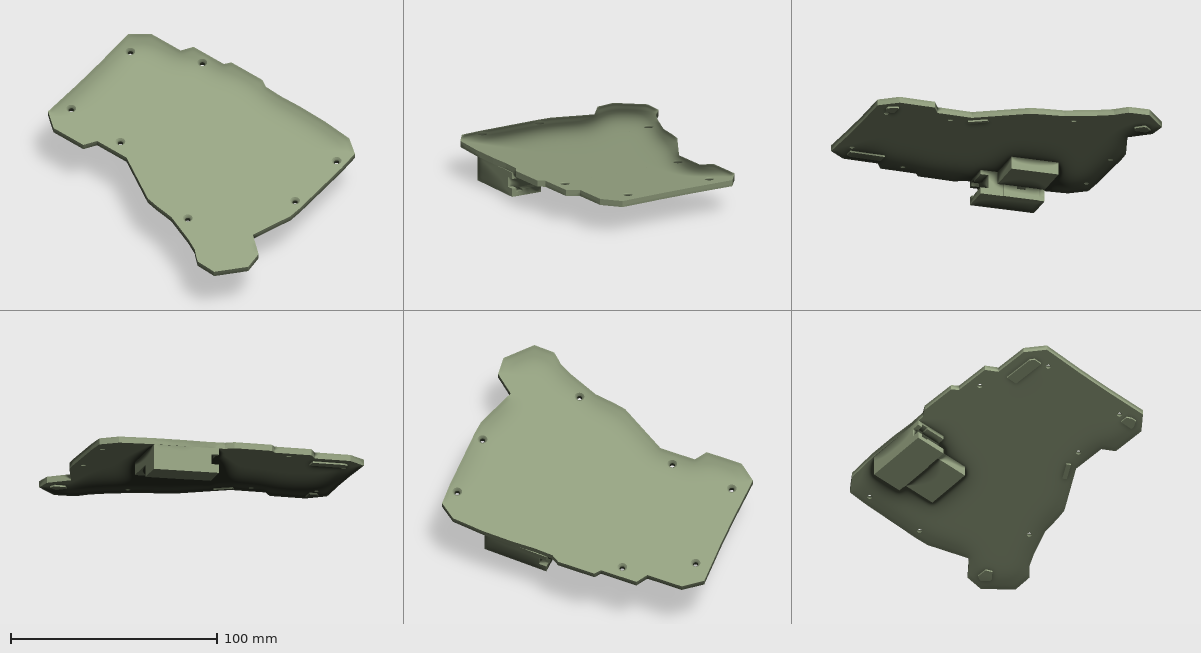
import cadquery as cq

plate_thickness = 3.0
box_bottom = 9.3
total_height = 15.3
pad_height = 0.8

plate_outline = [
    (127.8, 0.0), (138.9, 12.6), (137.8, 22.4), (127.9, 30.7), (135.0, 51.5), (135.4, 58.3), (135.4, 91.7),
    (134.9, 102.9), (126.7, 109.2), (110.4, 110.8), (94.5, 111.2), (83.3, 111.0), (73.9, 111.5), (69.9, 114.0),
    (51.0, 114.0), (48.7, 111.0), (30.3, 111.0), (26.8, 105.3), (8.9, 105.3), (0.0, 98.2), (0.4, 80.4),
    (0.5, 76.0), (0.5, 56.8), (0.4, 52.5), (0.0, 34.6), (8.7, 27.5), (27.0, 27.5), (30.7, 33.6),
    (48.6, 33.6), (72.6, 18.9), (73.2, 18.6), (79.3, 17.4), (89.7, 15.8), (90.3, 15.5),
    (104.7, 9.5), (111.5, 5.8), (113.3, 4.0), (117.2, 0.5), (119.0, 0.4), (125.8, 0.1),
]

hole_diameter = 2.5
countersink_diameter = 4.7
countersink_angle = 90.0
hole_centers = [
    (7.8, 90.0), (7.8, 42.9), (39.9, 105.4), (39.9, 40.1), (130.5, 93.9), (130.5, 60.8), (96.2, 20.1),
]

module_corner = (76.4, 95.4)
module_turn = -2.0
module_length = 32.6
housing_width = 16.2
box_start = 8.6
box_length = module_length - box_start
box_depth = 21.1
box_middle = box_start + box_length / 2

panel_length = 18.3
panel_raise = 0.3
notch_length = 4.3
notch_height = 1.4
notch_depth = 1.7

socket_depth = 3.9
socket_wide_start = 10.4
socket_wide_end = 13.9
socket_steps = [
    (0.0, socket_wide_start, 5.3, 12.1),
    (socket_wide_start, socket_wide_end, 4.3, 12.9),
    (socket_wide_end, housing_width, 6.2, 11.1),
]

upper_left_pad = [(8.3, 94.2), (26.2, 94.2), (26.2, 100.0), (10.4, 100.0), (8.3, 98.5)]
lower_left_pad = [(5.1, 34.6), (8.5, 32.6), (10.4, 32.6), (10.4, 39.5), (6.4, 39.5), (5.1, 37.0)]
tip_pad = [(126.2, 16.8), (129.9, 13.5), (131.2, 13.5), (134.6, 16.8), (133.2, 19.9), (127.6, 19.9)]
bar_center = (52.6, 36.1)
bar_length = 9.7
bar_width = 2.2
bar_turn = -31.0


def block(x_start, x_end, y_start, y_end, upper, lower):
    """Box between two X, two Y and two depths below the top face."""
    return (
        cq.Workplane("XY")
        .box(x_end - x_start, y_end - y_start, lower - upper, centered=False)
        .translate((x_start, y_start, -lower))
    )


def make_plate():
    plate = cq.Workplane("XY").polyline(plate_outline).close().extrude(-plate_thickness)
    return (
        plate.faces(">Z").workplane(origin=(0, 0, 0))
        .pushPoints(hole_centers)
        .cskHole(hole_diameter, countersink_diameter, countersink_angle)
    )


def make_pads():
    pads = cq.Workplane("XY").workplane(offset=-plate_thickness)
    for outline in (upper_left_pad, lower_left_pad, tip_pad):
        pads = pads.polyline(outline).close()
    pads = pads.extrude(-pad_height)
    bar = (
        cq.Workplane("XY")
        .rect(bar_length, bar_width)
        .extrude(-pad_height)
        .rotate((0, 0, 0), (0, 0, 1), bar_turn)
        .translate((*bar_center, -plate_thickness))
    )
    return pads.add(bar).combine()


def make_notch():
    """Wedge whose ramp runs from the panel face inward and down."""
    front = -panel_raise
    return (
        cq.Workplane("YZ", origin=(box_middle - notch_length / 2, 0, 0))
        .moveTo(front, -box_bottom)
        .lineTo(front + notch_depth, -box_bottom - notch_height)
        .lineTo(front, -box_bottom - notch_height)
        .close()
        .extrude(notch_length)
    )


def make_module():
    housing = block(0, module_length, 0, housing_width, plate_thickness, total_height)
    for start, end, upper, lower in socket_steps:
        housing = housing.cut(block(0, socket_depth, start, end, upper, lower))
    box = block(box_start, module_length, -box_depth, 0, plate_thickness, box_bottom)
    panel_start = box_middle - panel_length / 2
    panel = block(panel_start, panel_start + panel_length, -panel_raise, 0, box_bottom, total_height)
    module = housing.union(box).union(panel).cut(make_notch())
    return module.rotate((0, 0, 0), (0, 0, 1), module_turn).translate((*module_corner, 0))


result = make_plate().union(make_pads()).union(make_module())